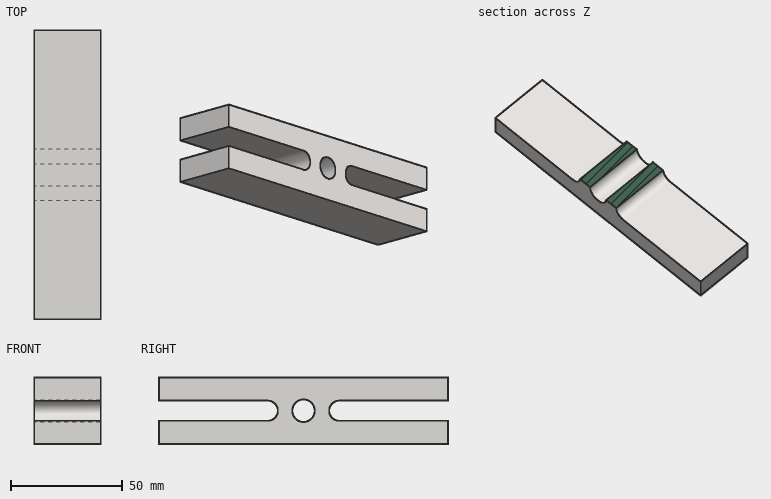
import cadquery as cq

bar_length = 130.0
bar_side = 30.0

hole_diameter = 10.0
slot_height = 9.0
slot_end_offset = 11.6


def make_slot(direction):
    """Slot open at one bar end; direction is +1 or -1 along Y."""
    round_center = slot_end_offset + slot_height / 2
    straight_length = bar_length / 2 - round_center
    rounded_end = (
        cq.Workplane("YZ")
        .center(direction * round_center, 0)
        .circle(slot_height / 2)
        .extrude(bar_side / 2, both=True)
    )
    straight = cq.Workplane("XY").box(bar_side, straight_length, slot_height)
    straight_center = direction * (round_center + straight_length / 2)
    return rounded_end.union(straight.translate((0, straight_center, 0)))


bar = cq.Workplane("XY").box(bar_side, bar_length, bar_side)
cross_hole = cq.Workplane("YZ").circle(hole_diameter / 2).extrude(bar_side / 2, both=True)

result = bar.cut(cross_hole)
for end_direction in (-1, 1):
    result = result.cut(make_slot(end_direction))